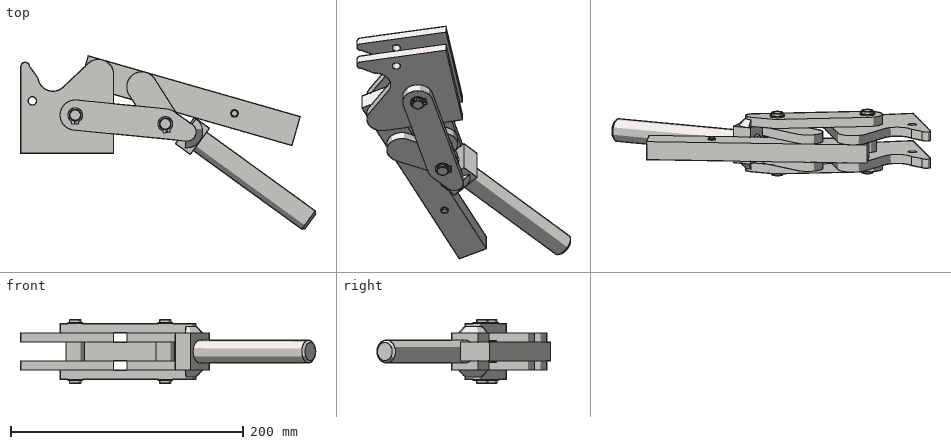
import cadquery as cq
import math


arm_half = 8.0
base_top = arm_half + 8.0
link_top = base_top + 8.0
pin_top = 27.5

base_width = 80.0
pivot_radius = 13.0
pivot = (base_width - pivot_radius, 68.0)
anchor = (46.9, 33.0)
link_angle = -5.6
link_pitch = 78.0


def offset(point, distance, angle):
    """Point at a distance and direction (degrees) from another point."""
    turn = math.radians(angle)
    return (point[0] + distance * math.cos(turn), point[1] + distance * math.sin(turn))


knee = offset(anchor, link_pitch, link_angle)

horn_radius = 3.8
horn_height = 78.5
horn_corner = (7.6, 74.9)
seat_start = (14.9, 65.0)
seat_center = (27.7, 66.5)
ramp_angle = 45.0
base_hole = (10.0, 45.2)
base_hole_diameter = 7.0

arm_angle = -16.0
arm_width = 2 * pivot_radius
arm_length = 190.0
arm_pitch = 38.8
arm_stud_distance = 121.8
arm_stud_radius = 3.25
arm_stud_chamfer = 0.75
arm_stud_rise = 1.5

link_radius = 13.0
tip_radius = 8.0
tip_reach = 97.0

pin_radius = 5.0
pin_chamfer = 0.5
spacer_radius = 8.0
ring_radius = 6.3
ring_thickness = 1.0
ring_gap = 1.0
ear_width = 2.5
ear_reach = 7.5
anchor_ring_angle = -90.0
knee_ring_angle = -80.0

handle_angle = -35.92
handle_radius = 9.85
handle_end = 131.5
handle_chamfer = 2.0
block_start = -2.0
block_length = 16.0
block_width = 28.0
stub_radius = 8.0
stub_rise = 1.5
stub_chamfer = 1.4
weld_leg = 5.75

tip = offset(anchor, tip_reach, link_angle)
tip = offset(tip, link_radius - tip_radius, link_angle - 90)
lever_joint = offset(pivot, arm_pitch, arm_angle)


def slab(sketch, bottom, top):
    """Extrude a closed XY outline between two heights."""
    return sketch.extrude(top - bottom).translate((0, 0, bottom))


def disc(center, radius, bottom, top):
    return slab(cq.Workplane("XY").center(*center).circle(radius), bottom, top)


def chamfered_pin(center, radius, half_length, chamfer):
    pin = disc(center, radius, -half_length, half_length)
    return pin.faces("<Z or >Z").chamfer(chamfer)


def bar_between(start, start_radius, end, end_radius, bottom, top):
    """Plate bounded by two end circles and their outer tangents."""
    distance = math.dist(start, end)
    heading = math.degrees(math.atan2(end[1] - start[1], end[0] - start[0]))
    spread = math.degrees(math.acos((start_radius - end_radius) / distance))
    upper = heading + spread
    lower = heading - spread
    outline = (
        cq.Workplane("XY")
        .moveTo(*offset(start, start_radius, lower))
        .lineTo(*offset(end, end_radius, lower))
        .threePointArc(offset(end, end_radius, heading), offset(end, end_radius, upper))
        .lineTo(*offset(start, start_radius, upper))
        .threePointArc(offset(start, start_radius, heading + 180), offset(start, start_radius, lower))
        .close()
    )
    return slab(outline, bottom, top)


def make_base_plate():
    """Plate with a horn, a round seat and a pivot lobe."""
    ramp_normal = ramp_angle + 90
    lobe_start = offset(pivot, pivot_radius, ramp_normal)
    seat_radius = math.dist(seat_center, seat_start)
    seat_end = offset(seat_center, seat_radius, -ramp_angle)
    outline = (
        cq.Workplane("XY")
        .lineTo(base_width, 0)
        .lineTo(base_width, pivot[1])
        .threePointArc(offset(pivot, pivot_radius, ramp_normal / 2), lobe_start)
        .lineTo(*seat_end)
        .threePointArc(offset(seat_center, seat_radius, -90), seat_start)
        .lineTo(*horn_corner)
        .threePointArc((horn_radius, horn_height), (0, horn_height - horn_radius))
        .close()
    )
    hole = disc(base_hole, base_hole_diameter / 2, arm_half, base_top)
    return slab(outline, arm_half, base_top).cut(hole)


def make_arm():
    bar = cq.Workplane("XY").box(arm_length, arm_width, 2 * arm_half)
    bar = bar.translate((arm_length / 2 - pivot_radius, 0, 0))
    bar = bar.rotate((0, 0, 0), (0, 0, 1), arm_angle).translate((*pivot, 0))
    stud_center = offset(pivot, arm_stud_distance, arm_angle)
    stud = chamfered_pin(stud_center, arm_stud_radius, arm_half + arm_stud_rise, arm_stud_chamfer)
    return bar.union(stud)


def make_lever():
    return bar_between(lever_joint, link_radius, knee, link_radius, arm_half, base_top)


def make_link():
    """Straight link whose far end bends down to a small rounded tip."""
    straight = bar_between(anchor, link_radius, knee, link_radius, base_top, link_top)
    bend = bar_between(knee, link_radius, tip, tip_radius, base_top, link_top)
    return straight.union(bend)


def make_weld():
    """Conical fillet around the link tip, between its two tangent edges."""
    bend_heading = math.degrees(math.atan2(tip[1] - knee[1], tip[0] - knee[0]))
    start_angle = link_angle - 90
    sweep = 2 * (bend_heading - start_angle)
    profile = (
        cq.Workplane("XZ")
        .moveTo(0, 0)
        .lineTo(tip_radius + weld_leg, 0)
        .lineTo(tip_radius, weld_leg)
        .lineTo(0, weld_leg)
        .close()
    )
    weld = profile.revolve(sweep, (0, 0, 0), (0, 1, 0))
    weld = weld.rotate((0, 0, 0), (0, 0, 1), start_angle)
    return weld.translate((*tip, base_top))


def make_ring(center, ear_angle):
    """Retaining ring with two ears, lying on the outer link."""
    ring = cq.Workplane("XY").circle(ring_radius).extrude(ring_thickness)
    ears_width = 2 * ear_width + ring_gap
    ears = cq.Workplane("XY").rect(ear_reach, ears_width).extrude(ring_thickness)
    ring = ring.union(ears.translate((ear_reach / 2, 0, 0)))
    gap = cq.Workplane("XY").rect(ear_reach, ring_gap).extrude(ring_thickness)
    ring = ring.cut(gap.translate((ear_reach / 2 + pin_radius, 0, 0)))
    ring = ring.rotate((0, 0, 0), (0, 0, 1), ear_angle)
    return ring.translate((*center, link_top))


def make_handle():
    """Round handle standing on a block, its root showing at the rear of the block."""
    block = cq.Workplane("XY").box(block_length, block_width, 2 * base_top)
    block = block.translate((block_start + block_length / 2, 0, 0))
    grip_start = block_start + block_length
    grip = cq.Workplane("YZ").circle(handle_radius).extrude(handle_end - grip_start)
    grip = grip.faces(">X").chamfer(handle_chamfer).translate((grip_start, 0, 0))
    stub = cq.Workplane("YZ").circle(stub_radius).extrude(-stub_rise)
    stub = stub.faces("<X").chamfer(stub_chamfer).translate((block_start, 0, 0))
    handle = block.union(grip).union(stub)
    return handle.rotate((0, 0, 0), (0, 0, 1), handle_angle).translate((*tip, 0))


upper_parts = [
    make_base_plate(),
    make_lever(),
    make_link(),
    make_weld(),
    make_ring(anchor, anchor_ring_angle),
    make_ring(knee, knee_ring_angle),
]
result = make_arm().union(make_handle())
for part in upper_parts:
    result = result.union(part, clean=False)
    result = result.union(part.mirror("XY"), clean=False)
for joint in (anchor, knee):
    result = result.union(disc(joint, spacer_radius, -arm_half, arm_half), clean=False)
    result = result.union(chamfered_pin(joint, pin_radius, pin_top, pin_chamfer), clean=False)
for joint in (pivot, lever_joint):
    result = result.union(disc(joint, pin_radius, -base_top, base_top), clean=False)